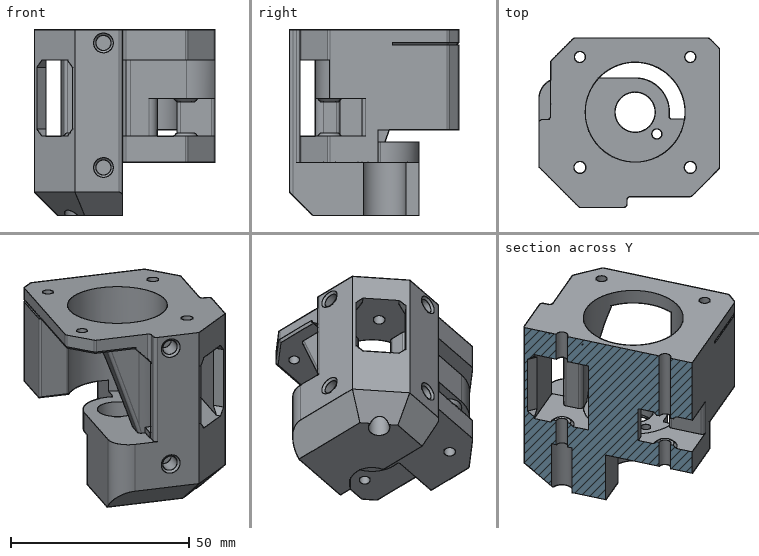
import cadquery as cq
import math


height = 52.1
plate_thickness = 4.2
plate_bottom = height - plate_thickness
cavity_top = 43.55
cavity_floor = 22.3
nose_bottom = 32.8
ledge_top = 20.7
rear_block_bottom = 24.05
arm_bottom = 14.95
foot_chamfer = 6.55

column_left = -27.0
column_front = -26.75
column_chamfer = 11.4
column_end_x = -2.25
column_end_y = -2.1
arm_rear = -1.9
half_side = 23.7
rear = 20.85
rear_left_chamfer = 6.55
rear_right_chamfer = 3.0
front_right_chamfer = 8.0
edge_radius = 1.0
plate_edge_chamfer = 0.7

seat_radius = 9.65
seat_step_radius = 0.6
foot_corner_radius = 6.0
seat_hole = 11.2
bearing_bore = 12.65
bearing_top = 16.2
pin_hole = 2.75
pin_offset = 6.1

bore = 28.0
tube_radius = 19.55
front_wall_half = 7.5
side_wall_front = -6.35
front_wall_radius = 2.35
nose_flat_end = 15.7
nose_radius = 10.0
rear_block_left = 6.55
rear_block_edge = 0.55
rear_block_bevel = 0.4
slope_top_y = 9.65
slope_bottom_y = 0.1

screw_offset = 15.5
front_screw_hole = 3.3
rear_screw_hole = 3.0
head_bore = 6.0
boss_top = 5.0
boss_height = 0.9

insert_hole = 4.2
insert_mouth = 5.5
insert_depth = 6.0
insert_levels = (13.5, 48.4)
insert_x = -7.6
insert_y = -6.95

window_width = 14.1
window_corner = 2.0
window_depth = 8.35

edge_search = 0.025


def box(x0, x1, y0, y1, z0, z1):
    return cq.Workplane("XY").box(x1 - x0, y1 - y0, z1 - z0, centered=False).translate((x0, y0, z0))


def prism(points, z0, z1):
    return cq.Workplane("XY").workplane(offset=z0).polyline(points).close().extrude(z1 - z0)


def cylinder(x, y, diameter, z0, z1):
    return cq.Workplane("XY").workplane(offset=z0).center(x, y).circle(diameter / 2).extrude(z1 - z0)


def round_vertical_edges(solid, corners, radius):
    """Round the vertical edges that stand at the given plan corners."""
    for x, y in corners:
        edge_box = cq.selectors.BoxSelector(
            (x - edge_search, y - edge_search, 0),
            (x + edge_search, y + edge_search, height),
        )
        solid = solid.edges("|Z").edges(edge_box).fillet(radius)
    return solid


def circle_offset(radius, offset):
    """Second plan coordinate of a point on an axis-centred circle, from its first one."""
    return math.sqrt(radius ** 2 - offset ** 2)


def outline(z0, z1):
    """Full plan outline with its rounded corners, between two heights."""
    sharp_corners = [
        (column_left, column_front + column_chamfer),
        (column_left + column_chamfer, column_front),
    ]
    rounded_corners = [
        (column_end_x, column_front),
        (column_end_x, -half_side),
        (half_side - front_right_chamfer, -half_side),
        (half_side, -half_side + front_right_chamfer),
        (half_side, rear - rear_right_chamfer),
        (half_side - rear_right_chamfer, rear),
        (-half_side + rear_left_chamfer, rear),
        (-half_side, rear - rear_left_chamfer),
        (-half_side, column_end_y),
        (column_left, column_end_y),
    ]
    return round_vertical_edges(prism(sharp_corners + rounded_corners, z0, z1), rounded_corners, edge_radius)


def make_plate():
    """Top plate: thin at the rear, stepping at 45 degrees to a thick front half."""
    bevel_start = column_end_y + plate_bottom - cavity_top
    thick_part = (
        cq.Workplane("YZ")
        .polyline([
            (column_front, cavity_top),
            (column_end_y, cavity_top),
            (bevel_start, plate_bottom),
            (bevel_start, height),
            (column_front, height),
        ])
        .close()
        .extrude(2 * height, both=True)
        .intersect(outline(cavity_top, height))
    )
    thin_part = outline(plate_bottom, height).intersect(
        box(-half_side, half_side, bevel_start, rear, plate_bottom, height)
    )
    thin_part = thin_part.faces("<Z").edges("<X").chamfer(plate_edge_chamfer)
    return thick_part.union(thin_part)


def make_column():
    """Thin-walled column around the open screw corner."""
    column = outline(arm_bottom, cavity_top).intersect(
        box(column_left, 0, column_front, column_end_y, arm_bottom, cavity_top)
    )
    return column.cut(box(-half_side, half_side, -half_side, half_side, cavity_floor, cavity_top))


def make_arm():
    """Front arm that floors the screw corners, and the round bearing seat behind it."""
    arm = outline(arm_bottom, cavity_floor).intersect(
        box(-half_side, half_side, column_front, arm_rear, arm_bottom, cavity_floor)
    )
    seat = box(-seat_radius, 0, arm_rear, seat_radius, arm_bottom, ledge_top)
    seat = seat.union(cylinder(0, 0, 2 * seat_radius, arm_bottom, ledge_top))
    step_x = circle_offset(seat_radius, arm_rear)
    return round_vertical_edges(arm.union(seat), [(step_x, arm_rear)], seat_step_radius)


def make_foot():
    """Foot below the column, bevelled along its three outer faces."""
    front_corner = (column_end_x, column_front)
    rear_corner = (column_left, seat_radius)
    foot = prism(
        [
            (column_left, column_front + column_chamfer),
            (column_left + column_chamfer, column_front),
            front_corner,
            (column_end_x, seat_radius),
            rear_corner,
        ],
        0,
        ledge_top,
    )
    foot = round_vertical_edges(foot, [front_corner], edge_radius)
    foot = round_vertical_edges(foot, [rear_corner], foot_corner_radius)

    diagonal_distance = -(column_left + column_front + column_chamfer) / math.sqrt(2)
    for angle, distance in ((180, -column_left), (225, diagonal_distance), (270, -column_front)):
        bevel = (
            cq.Workplane("XZ")
            .polyline([(distance - foot_chamfer, 0), (distance, 0), (distance, foot_chamfer)])
            .close()
            .extrude(height, both=True)
            .rotate((0, 0, 0), (0, 0, 1), angle)
        )
        foot = foot.cut(bevel)
    return foot


def make_tube(z0, z1):
    """Tube around the motor bore: round in the open screw corner, square on its other corners."""
    tube = box(-tube_radius, tube_radius, -tube_radius, tube_radius, z0, z1)
    corner = box(-tube_radius, 0, -tube_radius, 0, z0, z1)
    tube = tube.cut(corner.cut(cylinder(0, 0, 2 * tube_radius, z0, z1)))
    return tube.cut(cylinder(0, 0, bore, z0, z1))


def make_front_wall():
    """Piece of the tube between the two screw corners."""
    wall = make_tube(cavity_floor, cavity_top).intersect(
        box(-front_wall_half, front_wall_half, -tube_radius, 0, cavity_floor, cavity_top)
    )
    left_corner = (-front_wall_half, -circle_offset(tube_radius, front_wall_half))
    right_corner = (front_wall_half, -tube_radius)
    bore_y = -circle_offset(bore / 2, front_wall_half)
    wall = round_vertical_edges(wall, [left_corner], edge_radius)
    wall = round_vertical_edges(wall, [right_corner], front_wall_radius)
    return round_vertical_edges(wall, [(-front_wall_half, bore_y), (front_wall_half, bore_y)], edge_radius)


def make_left_wall():
    """Piece of the tube that carries the thin plate, with a sloping rear edge."""
    slope = (
        cq.Workplane("YZ")
        .workplane(offset=-tube_radius)
        .polyline([
            (side_wall_front, ledge_top),
            (slope_bottom_y, ledge_top),
            (slope_top_y, plate_bottom),
            (side_wall_front, plate_bottom),
        ])
        .close()
        .extrude(tube_radius - seat_radius)
    )
    slope = slope.faces(">Y").edges("<X").fillet(edge_radius)
    wall = make_tube(ledge_top, plate_bottom).intersect(slope)
    outer_corner = (-circle_offset(tube_radius, side_wall_front), side_wall_front)
    bore_corner = (-circle_offset(bore / 2, side_wall_front), side_wall_front)
    return round_vertical_edges(wall, [outer_corner, bore_corner], edge_radius)


def make_right_block():
    """Rear right block, resting on the arm along its front edge."""
    block = outline(cavity_floor, plate_bottom).intersect(
        box(rear_block_left, half_side, side_wall_front, rear, cavity_floor, plate_bottom)
    )
    block = block.cut(box(0, half_side, arm_rear, rear, cavity_floor, rear_block_bottom))
    block = block.cut(cylinder(0, 0, bore, cavity_floor, plate_bottom))

    bore_y = circle_offset(bore / 2, rear_block_left)
    block = block.faces("<X").edges("<Z").chamfer(rear_block_bevel)
    block = round_vertical_edges(block, [(rear_block_left, rear), (rear_block_left, bore_y)], rear_block_edge)

    bore_corner = (circle_offset(bore / 2, side_wall_front), side_wall_front)
    return round_vertical_edges(block, [(half_side, side_wall_front), bore_corner], edge_radius)


def make_nose():
    """Rounded block under the plate that takes the front right screw."""
    nose_right = nose_flat_end + nose_radius
    nose = box(0, nose_right, -tube_radius, arm_rear, nose_bottom, cavity_top)
    nose = round_vertical_edges(nose, [(nose_right, -tube_radius)], nose_radius)
    return nose.intersect(outline(nose_bottom, cavity_top))


def make_boss(x, base_z, direction):
    """Conical pad around a front screw, growing up (1) or down (-1) from its base."""
    return (
        cq.Workplane("XY")
        .workplane(offset=base_z)
        .center(x, -screw_offset)
        .circle(boss_top / 2 + boss_height)
        .workplane(offset=direction * boss_height)
        .circle(boss_top / 2)
        .loft()
    )


def make_window():
    """Cutter for the window in the diagonal face, with bevelled corners."""
    window = (
        cq.Workplane("XY")
        .box(window_depth, window_width, cavity_top - cavity_floor)
        .edges("|X")
        .chamfer(window_corner)
    )
    middle_x = column_left + column_chamfer / 2
    middle_y = column_front + column_chamfer / 2
    middle_z = (cavity_floor + cavity_top) / 2
    return window.rotate((0, 0, 0), (0, 0, 1), 45).translate((middle_x, middle_y, middle_z))


def make_insert_hole():
    """Cutter for a blind hole along +Y with a countersunk mouth at the origin."""
    sink_depth = (insert_mouth - insert_hole) / 2
    hole = cq.Workplane("XZ").circle(insert_hole / 2).extrude(-insert_depth)
    sink = (
        cq.Workplane("XZ")
        .circle(insert_mouth / 2)
        .workplane(offset=-sink_depth)
        .circle(insert_hole / 2)
        .loft()
    )
    return hole.union(sink)


result = make_plate().union(make_column()).union(make_arm()).union(make_foot())
result = result.union(make_nose()).cut(cylinder(0, 0, bore, ledge_top, height))
result = result.union(make_front_wall()).union(make_left_wall()).union(make_right_block())
for boss_x, boss_base, boss_direction in (
    (-screw_offset, cavity_floor, 1),
    (screw_offset, cavity_floor, 1),
    (screw_offset, nose_bottom, -1),
):
    result = result.union(make_boss(boss_x, boss_base, boss_direction))

result = result.cut(make_window())
result = result.cut(cylinder(0, 0, seat_hole, 0, height))
result = result.cut(cylinder(0, 0, bearing_bore, 0, bearing_top))
result = result.cut(cylinder(pin_offset, -pin_offset, pin_hole, 0, height))
for screw_x in (-screw_offset, screw_offset):
    result = result.cut(cylinder(screw_x, -screw_offset, front_screw_hole, 0, height))
    result = result.cut(cylinder(screw_x, screw_offset, rear_screw_hole, arm_bottom, height))
result = result.cut(cylinder(-screw_offset, -screw_offset, head_bore, 0, arm_bottom))
for level in insert_levels:
    result = result.cut(make_insert_hole().translate((insert_x, column_front, level)))
    result = result.cut(
        make_insert_hole().rotate((0, 0, 0), (0, 0, 1), -90).translate((column_left, insert_y, level))
    )